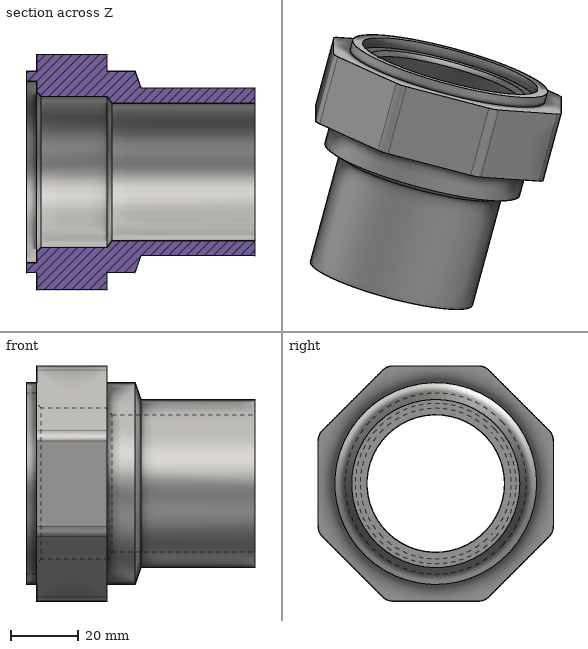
import cadquery as cq
import math

total_length = 68.0
nut_start = 3.0
nut_length = 21.0
collar_end = 32.35
shoulder_end = 34.1
recess_depth = 3.0
bore_chamfer_depth = 1.4
bore_end = nut_start + nut_length
bore_cone_length = 1.4

side_count = 8
across_flats = 70.0
corner_radius = 4.35

collar_diameter = 60.0
tube_diameter = 50.0
recess_diameter = 53.9
chamfer_diameter = 47.75
bore_diameter = 44.9
tube_bore_diameter = 40.8


def revolve_about_x(stations):
    """Solid of revolution from (axial position, diameter) stations along X."""
    profile = [(x, diameter / 2) for x, diameter in stations]
    start = (stations[0][0], 0)
    end = (stations[-1][0], 0)
    outline = cq.Workplane("XY").polyline([start] + profile + [end]).close()
    return outline.revolve(360, (0, 0, 0), (1, 0, 0))


def octagonal_nut():
    """Regular octagon with flats on the Y and Z sides and rounded corners."""
    half_side_angle = math.pi / side_count
    circumradius = across_flats / 2 / math.cos(half_side_angle)
    corner_angles = [(2 * i + 1) * half_side_angle for i in range(side_count)]
    corners = [(circumradius * math.cos(a), circumradius * math.sin(a)) for a in corner_angles]
    nut = cq.Workplane("YZ", origin=(nut_start, 0, 0)).polyline(corners).close().extrude(nut_length)
    return nut.edges("|X").fillet(corner_radius)


body = revolve_about_x([
    (0, collar_diameter),
    (collar_end, collar_diameter),
    (shoulder_end, tube_diameter),
    (total_length, tube_diameter),
])

passage = revolve_about_x([
    (0, recess_diameter),
    (recess_depth, recess_diameter),
    (recess_depth, chamfer_diameter),
    (recess_depth + bore_chamfer_depth, bore_diameter),
    (bore_end, bore_diameter),
    (bore_end + bore_cone_length, tube_bore_diameter),
    (total_length, tube_bore_diameter),
])

result = body.union(octagonal_nut()).cut(passage)